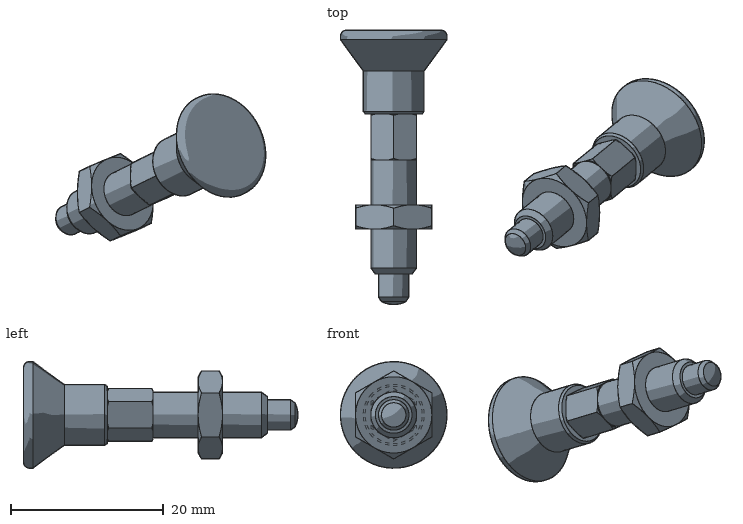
import cadquery as cq
import math


hexagon_half_angle = math.radians(30)

pin_diameter = 4.0
pin_length = 4.0
pin_chamfer_start = 3.0
pin_chamfer_length = 0.6
dome_diameter = 3.2

sleeve_diameter = 6.0
sleeve_end_diameter = 4.8
sleeve_chamfer_length = 0.8

nut_across_flats = 10.0
nut_thickness = 3.2
nut_back = 9.1
nut_chamfer_depth = nut_across_flats / 2 * (1 / math.cos(hexagon_half_angle) - 1)
nut_chamfer_angle = 30.0

hex_across_flats = 6.0
hex_front = 15.0
hex_back = 21.0
hex_chamfer_depth = 0.3
hex_chamfer_angle = 30.0

knob_back = 32.0
knob_diameter = 14.0
collar_diameter = 8.0
collar_chamfer_length = 0.35
collar_chamfer_depth = 0.25
collar_back = 26.65
flare_back = 30.75
rim_fillet = 0.8


def revolve_about_y(profile):
    """Turn a closed profile of (radius, y) points about the Y axis."""
    return profile.close().revolve(360, (0, 0, 0), (0, 1, 0))


def hexagon_bar(across_flats, front, back):
    """Hexagonal bar along Y with two flats facing +X and -X."""
    across_corners = across_flats / math.cos(hexagon_half_angle)
    plane = cq.Plane(origin=(0, front, 0), xDir=(0, 0, 1), normal=(0, 1, 0))
    return cq.Workplane(plane).polygon(6, across_corners).extrude(back - front)


def chamfered_hexagon(across_flats, front, back, chamfer_depth, chamfer_angle):
    """Hexagonal bar whose corners are turned off conically at both ends."""
    corner_radius = across_flats / 2 / math.cos(hexagon_half_angle)
    face_radius = corner_radius - chamfer_depth
    chamfer_length = chamfer_depth * math.tan(math.radians(chamfer_angle))
    envelope = revolve_about_y(
        cq.Workplane("XY")
        .moveTo(0, front)
        .lineTo(face_radius, front)
        .lineTo(corner_radius, front + chamfer_length)
        .lineTo(corner_radius, back - chamfer_length)
        .lineTo(face_radius, back)
        .lineTo(0, back)
    )
    return hexagon_bar(across_flats, front, back).intersect(envelope)


def make_pin():
    """Pin with a conical lead-in and a shallow spherical tip, rooted inside the sleeve."""
    pin_radius = pin_diameter / 2
    dome_radius = dome_diameter / 2
    dome_base = -pin_chamfer_start - pin_chamfer_length
    dome_height = pin_length + dome_base
    sphere_radius = (dome_radius**2 + dome_height**2) / (2 * dome_height)
    sphere_center = -pin_length + sphere_radius
    half_angle = math.asin(dome_radius / sphere_radius) / 2
    dome_middle = (
        sphere_radius * math.sin(half_angle),
        sphere_center - sphere_radius * math.cos(half_angle),
    )
    return revolve_about_y(
        cq.Workplane("XY")
        .moveTo(0, -pin_length)
        .threePointArc(dome_middle, (dome_radius, dome_base))
        .lineTo(pin_radius, -pin_chamfer_start)
        .lineTo(pin_radius, hex_front)
        .lineTo(0, hex_front)
    )


def make_sleeve():
    """Round sleeve from the front shoulder to the wrench section."""
    return revolve_about_y(
        cq.Workplane("XY")
        .lineTo(sleeve_end_diameter / 2, 0)
        .lineTo(sleeve_diameter / 2, sleeve_chamfer_length)
        .lineTo(sleeve_diameter / 2, hex_front)
        .lineTo(0, hex_front)
    )


def make_knob():
    """Pull knob: a round collar widening conically to a wide rounded rim."""
    collar_radius = collar_diameter / 2
    knob_radius = knob_diameter / 2
    knob = revolve_about_y(
        cq.Workplane("XY")
        .moveTo(0, hex_back)
        .lineTo(collar_radius - collar_chamfer_depth, hex_back)
        .lineTo(collar_radius, hex_back + collar_chamfer_length)
        .lineTo(collar_radius, collar_back)
        .lineTo(knob_radius, flare_back)
        .lineTo(knob_radius, knob_back)
        .lineTo(0, knob_back)
    )
    return knob.faces(">Y").edges().fillet(rim_fillet)


nut = chamfered_hexagon(
    nut_across_flats, nut_back - nut_thickness, nut_back, nut_chamfer_depth, nut_chamfer_angle
)
wrench_section = chamfered_hexagon(
    hex_across_flats, hex_front, hex_back, hex_chamfer_depth, hex_chamfer_angle
)

result = make_pin().union(make_sleeve()).union(nut).union(wrench_section).union(make_knob())